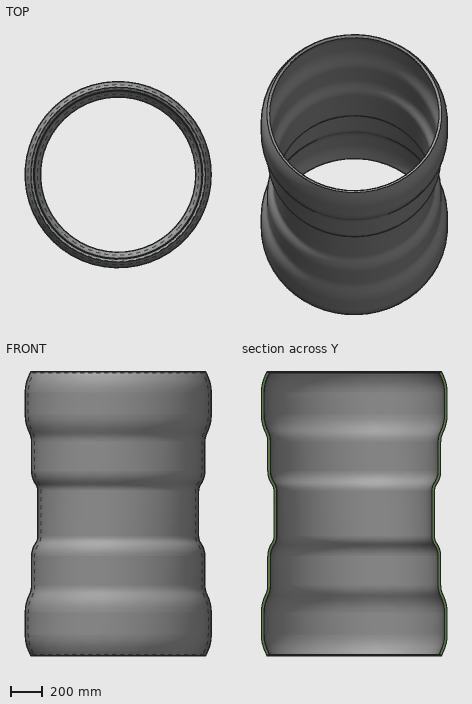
import cadquery as cq
import math

length = 1800.0
wall = 20.0
waist_diameter = 1020.0
sleeve_diameter = 1100.0
socket_diameter = 1180.0

waist_end = 144.0
sleeve_start = 270.0
sleeve_end = 455.0
socket_start = 626.0
socket_end = 767.0
lip_start = 875.0
top = length / 2

waist_flare_split = 0.34
sleeve_flare_split = 0.34
mouth_radius = 252.0


def arc_to(profile, center, radius, start_angle, end_angle):
    """Add an arc about center, with angles in radians from the radial direction."""
    def point(angle):
        return (center[0] + radius * math.cos(angle), center[1] + radius * math.sin(angle))

    return profile.threePointArc(point((start_angle + end_angle) / 2), point(end_angle))


def flare(profile, small_radius, large_radius, bottom, height, split, inset):
    """Widen the wall with two tangent arcs; inset is the depth below the outer skin."""
    turn = 2 * math.atan((large_radius - small_radius) / height)
    concave_radius = split * height / math.sin(turn)
    convex_radius = (1 - split) * height / math.sin(turn)
    concave_center = (small_radius + concave_radius, bottom)
    convex_center = (large_radius - convex_radius, bottom + height)
    profile = profile.lineTo(small_radius - inset, bottom)
    profile = arc_to(profile, concave_center, concave_radius + inset, math.pi, math.pi - turn)
    return arc_to(profile, convex_center, convex_radius - inset, -turn, 0)


def half_section(inset):
    """Upper half-section from the axis out to the surface lying inset below the outer skin."""
    waist_radius = waist_diameter / 2
    sleeve_radius = sleeve_diameter / 2
    socket_radius = socket_diameter / 2
    profile = cq.Workplane("XZ").lineTo(waist_radius - inset, 0)
    profile = flare(profile, waist_radius, sleeve_radius, waist_end,
                    sleeve_start - waist_end, waist_flare_split, inset)
    profile = flare(profile, sleeve_radius, socket_radius, sleeve_end,
                    socket_start - sleeve_end, sleeve_flare_split, inset)

    mouth_turn = math.asin((lip_start - socket_end) / mouth_radius)
    mouth_center = (socket_radius - mouth_radius, socket_end)
    lip_start_radius = mouth_center[0] + mouth_radius * math.cos(mouth_turn)
    rim_radius = lip_start_radius - (top - lip_start) * math.tan(mouth_turn)

    def below_rim(depth):
        return (rim_radius - depth * math.cos(mouth_turn), top - depth * math.sin(mouth_turn))

    profile = profile.lineTo(socket_radius - inset, socket_end)
    profile = arc_to(profile, mouth_center, mouth_radius - inset, 0, mouth_turn)
    profile = profile.lineTo(*below_rim(inset))

    inner_corner = below_rim(wall)
    if inset < wall:
        profile = profile.lineTo(*inner_corner)
    profile = profile.lineTo(0, inner_corner[1]).close()
    return cq.Face.makeFromWires(profile.val())


upper_section = half_section(0).cut(half_section(wall))
wall_section = upper_section.fuse(upper_section.mirror("XY")).clean().Faces()[0]
coupling = cq.Solid.revolve(wall_section, 360, cq.Vector(0, 0, 0), cq.Vector(0, 0, 1))
result = cq.Workplane("XY").newObject([coupling])